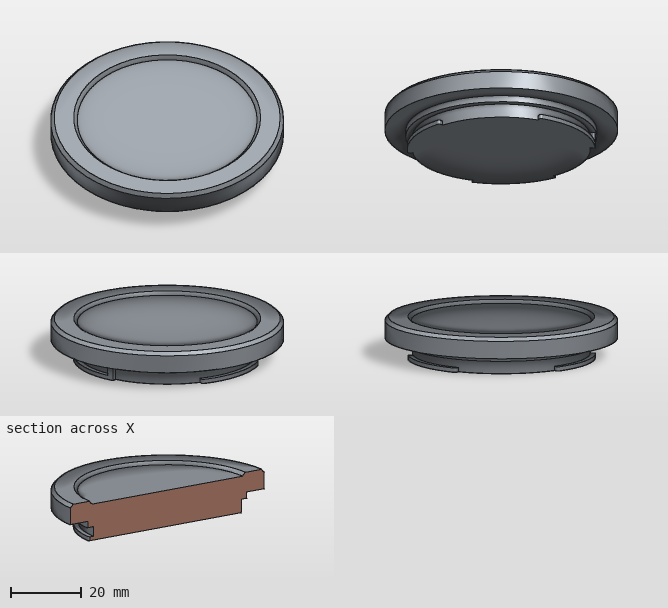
import cadquery as cq
import math

cap_diameter = 65.8
total_height = 11.8
collar_diameter = 54.0
barrel_diameter = 50.3
barrel_height = 3.95
collar_height = 1.85
rim_chamfer = 1.0

recess_top_diameter = 52.8
recess_depth = 1.0
recess_floor_diameter = recess_top_diameter - 2 * recess_depth

lug_radius = 26.6
lug_height = 1.25
lug_corner_radius = 0.65
lug_count = 3
lug_start = 155.8
lug_sweep = 54.4

stop_lug = 1
stop_start = 334.8
stop_end = 338.7

barrel_radius = barrel_diameter / 2
lug_root_radius = barrel_radius - 1.3


def polar(radius, angle):
    return (radius * math.cos(math.radians(angle)), radius * math.sin(math.radians(angle)))


def disc(diameter, bottom, height):
    return cq.Workplane("XY").workplane(offset=bottom).circle(diameter / 2).extrude(height)


def ring_sector(start, end, height):
    """Part of a ring between two angles, standing on z = 0."""
    middle = (start + end) / 2
    return (
        cq.Workplane("XY")
        .moveTo(*polar(lug_root_radius, start))
        .lineTo(*polar(lug_radius, start))
        .threePointArc(polar(lug_radius, middle), polar(lug_radius, end))
        .lineTo(*polar(lug_root_radius, end))
        .threePointArc(polar(lug_root_radius, middle), polar(lug_root_radius, start))
        .close()
        .extrude(height)
    )


def round_outer_corner(sector, angle):
    corner = polar(lug_radius, angle)
    nearest = cq.selectors.NearestToPointSelector((*corner, lug_height / 2))
    return sector.edges("|Z").edges(nearest).fillet(lug_corner_radius)


def make_body():
    rim_bottom = barrel_height + collar_height
    rim = disc(cap_diameter, rim_bottom, total_height - rim_bottom)
    rim = rim.faces(">Z").edges().chamfer(rim_chamfer)
    collar = disc(collar_diameter, barrel_height, collar_height)
    barrel = disc(barrel_diameter, 0, barrel_height)
    return barrel.union(collar).union(rim)


def make_recess():
    return (
        cq.Workplane("XY")
        .workplane(offset=total_height - recess_depth)
        .circle(recess_floor_diameter / 2)
        .workplane(offset=recess_depth)
        .circle(recess_top_diameter / 2)
        .loft()
    )


def make_lug(index):
    start = lug_start + index * 360 / lug_count
    if index == stop_lug:
        lug = round_outer_corner(ring_sector(start, stop_end, lug_height), start)
        return lug.union(ring_sector(stop_start, stop_end, barrel_height))
    end = start + lug_sweep
    lug = ring_sector(start, end, lug_height)
    return round_outer_corner(round_outer_corner(lug, start), end)


result = make_body().cut(make_recess())
for lug_index in range(lug_count):
    result = result.union(make_lug(lug_index))